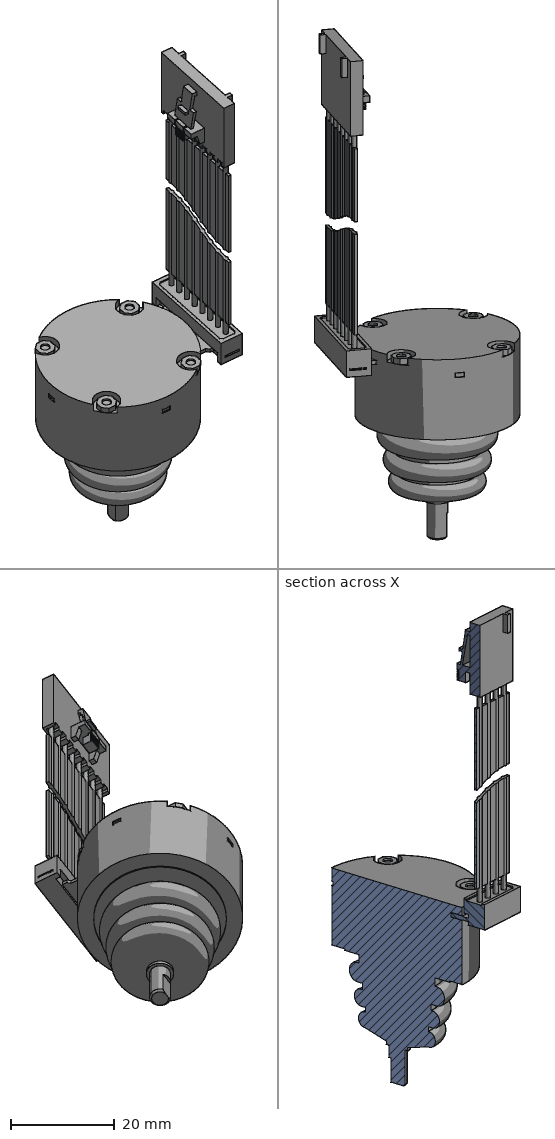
import cadquery as cq

HOUSING_RADIUS = 15.9
HOUSING_HEIGHT = 16.2
RIM_RADIUS = 12.8
RIM_HEIGHT = 0.3

SCREW_OFFSET = 10.0
SCREW_POCKET_RADIUS = 2.7
SCREW_POCKET_DEPTH = 1.5
SCREW_HEAD_SIDES = 8
SCREW_HEAD_WIDTH = 3.6
SCREW_HEAD_HEIGHT = 1.2
SCREW_SOCKET_RADIUS = 0.9
SCREW_SOCKET_DEPTH = 0.4

NOTCH_TOP_Z = 13.4
NOTCH_WIDTH = 1.8
NOTCH_HEIGHT = 0.9
NOTCH_DEPTH = 0.3
NOTCH_ANGLES = (180, 270, 360)

BELLOWS_STAGES = (
    (9.3, 1.9, 11.6, 4.2),
    (8.4, 1.2, 10.4, 3.6),
    (7.7, 0.9, 9.4, 3.3),
)
CONE_HEIGHT = 1.4

COLLAR_RADIUS = 2.6
COLLAR_HEIGHT = 0.7
SHAFT_RADIUS = 2.0
SHAFT_TIP_Z = -24.9
SHAFT_CHAMFER = 0.4
FLAT_LENGTH = 5.1
FLAT_OFFSET = 1.5

HEADER_HALF_WIDTH = 11.2
HEADER_FRONT_Y = 16.3
HEADER_BACK_Y = 21.4
HEADER_BOTTOM_Z = 12.9
HEADER_TOP_Z = 18.2
HEADER_WALL = 0.7
RECESS_HALF_WIDTH = 10.3
RECESS_DEPTH = 0.3
RECESS_CHAMFER = 0.5
OPENING_HALF_WIDTH = 10.0
OPENING_HEIGHT = 2.2
OPENING_DEPTH = 1.0
END_SLOT_Z = 14.2
END_SLOT_HEIGHT = 0.35
END_SLOT_DEPTH = 0.5
END_SLOT_SPANS = ((17.3, 17.9), (18.2, 20.7))

TONGUE_HALF_WIDTH = 7.1
TONGUE_TIP_Y = 13.2
TONGUE_BOTTOM_Z = 13.6
TONGUE_THICKNESS = 0.8
TONGUE_FLARE = 0.6

WIRE_COUNT = 8
WIRE_PITCH = 2.5
WIRE_RADIUS = 0.5
CABLE_Y = 19.1
WEB_HALF_WIDTH = 10.2
WEB_THICKNESS = 0.6
LOWER_WEB_BOTTOM_Z = 21.0
UPPER_WEB_TOP_Z = 58.7
BREAK_GAP = 2.5
BREAK_HIGH_Z = 43.9
BREAK_LOW_Z = 39.3
BREAK_FLAT_HALF_WIDTH = 8.8

PLUG_HALF_WIDTH = 10.2
PLUG_FRONT_Y = 17.7
PLUG_BACK_Y = 20.3
PLUG_BOTTOM_Z = 61.3
OVERALL_HEIGHT = 101.3
PLUG_TOP_Z = SHAFT_TIP_Z + OVERALL_HEIGHT
WIRE_NOTCH_WIDTH = 1.3
WIRE_NOTCH_HEIGHT = 0.8
RIB_OFFSET = 7.6
RIB_WIDTH = 0.8
RIB_HEIGHT = 3.8

LATCH_HALF_WIDTH = 3.8
LATCH_FRONT_Y = 14.6
LATCH_BOTTOM_Z = 63.4
LATCH_BAR_Z = 65.6
LATCH_TOP_Z = 67.0
LATCH_LEG_WIDTH = 1.1
LATCH_LEG_TOP_Y = 16.0
LATCH_LEG_BOTTOM_Y = 16.7
TOOTH_HALF_WIDTH = 1.2
TOOTH_GROOVE_COUNT = 4
TOOTH_GROOVE_DEPTH = 0.4
BAR_SLOT_WIDTH = 0.3
BAR_SLOT_DEPTH = 0.8
LEVER_ROOT_Y = 15.7
LEVER_TIP_Y = 16.9
LEVER_THICKNESS = 0.6
LEVER_TIP_Z = 74.5
LEVER_STEP_Z = 70.8
LEVER_ROOT_HALF_WIDTH = 2.6
LEVER_TIP_HALF_WIDTH = 1.4
LEVER_HOOK_HEIGHT = 0.9
BARB_Z = 69.7
BARB_HEIGHT = 0.6
BARB_FRONT_Y = 15.1
BARB_HALF_WIDTH = 1.2


def box(x_range, y_range, z_range):
    """Return a box that spans three (low, high) ranges."""
    lows, highs = zip(x_range, y_range, z_range)
    sizes = [high - low for low, high in zip(lows, highs)]
    return cq.Workplane("XY").box(*sizes, centered=False).translate(lows)


def side_profile(points, half_width):
    """Extrude a profile of (y, z) points to both sides of X = 0."""
    return cq.Workplane("YZ").polyline(points).close().extrude(half_width, both=True)



def shell():
    rim = cq.Workplane("XY").circle(RIM_RADIUS).extrude(-RIM_HEIGHT)
    return cq.Workplane("XY").circle(HOUSING_RADIUS).extrude(HOUSING_HEIGHT).union(rim)


def window_notches():
    """Shallow windows on the front and both sides of the housing."""
    notch = box(
        (HOUSING_RADIUS - NOTCH_DEPTH, HOUSING_RADIUS + NOTCH_DEPTH),
        (-NOTCH_WIDTH / 2, NOTCH_WIDTH / 2),
        (NOTCH_TOP_Z - NOTCH_HEIGHT, NOTCH_TOP_Z),
    )
    notches = cq.Workplane("XY")
    for angle in NOTCH_ANGLES:
        notches = notches.add(notch.rotate((0, 0, 0), (0, 0, 1), angle))
    return notches.combine()


def at_screws(z):
    """Return a workplane at height z with a point on each screw axis."""
    pitch = 2 * SCREW_OFFSET
    return cq.Workplane("XY").workplane(offset=z).rarray(pitch, pitch, 2, 2)


def add_screws(body):
    floor_z = HOUSING_HEIGHT - SCREW_POCKET_DEPTH
    head_top_z = floor_z + SCREW_HEAD_HEIGHT
    pockets = at_screws(floor_z).circle(SCREW_POCKET_RADIUS).extrude(SCREW_POCKET_DEPTH)
    heads = at_screws(floor_z).polygon(SCREW_HEAD_SIDES, SCREW_HEAD_WIDTH, circumscribed=True).extrude(SCREW_HEAD_HEIGHT)
    sockets = at_screws(head_top_z).circle(SCREW_SOCKET_RADIUS).extrude(-SCREW_SOCKET_DEPTH)
    return body.cut(pockets).union(heads).cut(sockets)


def bellows():
    """Revolve three necks, each with a round lobe under it, and the closing cone."""
    profile = cq.Workplane("XZ").moveTo(0, 0)
    z = 0
    for neck_radius, neck_length, lobe_radius, lobe_height in BELLOWS_STAGES:
        round_radius = lobe_height / 2
        round_start = lobe_radius - round_radius
        profile = profile.lineTo(neck_radius, z)
        z -= neck_length
        profile = profile.lineTo(neck_radius, z).lineTo(round_start, z)
        profile = profile.threePointArc((lobe_radius, z - round_radius), (round_start, z - lobe_height))
        z -= lobe_height
    cone_tip_z = z - CONE_HEIGHT
    profile = profile.lineTo(COLLAR_RADIUS, cone_tip_z).lineTo(0, cone_tip_z).close()
    return profile.revolve(360, (0, 0), (0, 1))


def shaft():
    collar_top_z = -CONE_HEIGHT - sum(stage[1] + stage[3] for stage in BELLOWS_STAGES)
    collar = cq.Workplane("XY").workplane(offset=collar_top_z).circle(COLLAR_RADIUS).extrude(-COLLAR_HEIGHT)
    rod = (
        cq.Workplane("XY").workplane(offset=SHAFT_TIP_Z)
        .circle(SHAFT_RADIUS).extrude(collar_top_z - SHAFT_TIP_Z)
        .faces("<Z").chamfer(SHAFT_CHAMFER)
    )
    flat = box(
        (-SHAFT_RADIUS, SHAFT_RADIUS),
        (-SHAFT_RADIUS, -FLAT_OFFSET),
        (SHAFT_TIP_Z, SHAFT_TIP_Z + FLAT_LENGTH),
    )
    return rod.cut(flat).union(collar)


def tongue():
    """Flat tongue that widens where it leaves the header."""
    root_y = HEADER_FRONT_Y + OPENING_DEPTH
    root_half_width = TONGUE_HALF_WIDTH + TONGUE_FLARE
    right_side = [
        (TONGUE_HALF_WIDTH, TONGUE_TIP_Y),
        (TONGUE_HALF_WIDTH, HEADER_FRONT_Y - TONGUE_FLARE),
        (root_half_width, HEADER_FRONT_Y),
        (root_half_width, root_y),
    ]
    left_side = [(-x, y) for x, y in reversed(right_side)]
    outline = cq.Workplane("XY").workplane(offset=TONGUE_BOTTOM_Z).polyline(right_side + left_side)
    return outline.close().extrude(TONGUE_THICKNESS)


def make_housing():
    body = shell().cut(window_notches())
    body = add_screws(body).union(bellows()).union(shaft())
    return body.cut(tongue())



def wire_positions():
    first_x = -WIRE_PITCH * (WIRE_COUNT - 1) / 2
    return [first_x + index * WIRE_PITCH for index in range(WIRE_COUNT)]


def cable(bottom_z, top_z, web_bottom_z, web_top_z):
    """Return round wires joined by a flat web."""
    body = box(
        (-WEB_HALF_WIDTH, WEB_HALF_WIDTH),
        (CABLE_Y - WEB_THICKNESS / 2, CABLE_Y + WEB_THICKNESS / 2),
        (web_bottom_z, web_top_z),
    )
    points = [(x, CABLE_Y) for x in wire_positions()]
    wires = (
        cq.Workplane("XY").workplane(offset=bottom_z)
        .pushPoints(points).circle(WIRE_RADIUS).extrude(top_z - bottom_z)
    )
    return body.union(wires)


def beyond_break(edge_shift, limit_z):
    """Return the space between the wavy break line and the level limit_z."""
    high_z = BREAK_HIGH_Z + edge_shift
    low_z = BREAK_LOW_Z + edge_shift
    return (
        cq.Workplane("XZ", origin=(0, HEADER_BACK_Y, 0))
        .moveTo(-HEADER_HALF_WIDTH, high_z)
        .lineTo(-BREAK_FLAT_HALF_WIDTH, high_z)
        .spline([(BREAK_FLAT_HALF_WIDTH, low_z)], tangents=[(1, 0), (1, 0)], includeCurrent=True)
        .lineTo(HEADER_HALF_WIDTH, low_z)
        .lineTo(HEADER_HALF_WIDTH, limit_z)
        .lineTo(-HEADER_HALF_WIDTH, limit_z)
        .close()
        .extrude(HEADER_BACK_Y - HEADER_FRONT_Y)
    )



def header_block():
    block = box(
        (-HEADER_HALF_WIDTH, HEADER_HALF_WIDTH),
        (HEADER_FRONT_Y, HEADER_BACK_Y),
        (HEADER_BOTTOM_Z, HEADER_TOP_Z),
    )
    recess = box(
        (-RECESS_HALF_WIDTH, RECESS_HALF_WIDTH),
        (HEADER_FRONT_Y + HEADER_WALL, HEADER_BACK_Y - HEADER_WALL),
        (HEADER_TOP_Z - RECESS_DEPTH, HEADER_TOP_Z),
    ).edges("|Z").chamfer(RECESS_CHAMFER)
    opening = box(
        (-OPENING_HALF_WIDTH, OPENING_HALF_WIDTH),
        (HEADER_FRONT_Y, HEADER_FRONT_Y + OPENING_DEPTH),
        (HEADER_BOTTOM_Z, HEADER_BOTTOM_Z + OPENING_HEIGHT),
    )
    return block.cut(recess).cut(opening)


def end_slots():
    """Narrow slots in both ends of the header."""
    slots = cq.Workplane("XY")
    inner_x = HEADER_HALF_WIDTH - END_SLOT_DEPTH
    for x_range in ((-HEADER_HALF_WIDTH, -inner_x), (inner_x, HEADER_HALF_WIDTH)):
        for y_range in END_SLOT_SPANS:
            slots = slots.add(box(x_range, y_range, (END_SLOT_Z, END_SLOT_Z + END_SLOT_HEIGHT)))
    return slots.combine()


def make_header():
    lower_cable = cable(HEADER_TOP_Z - RECESS_DEPTH, BREAK_HIGH_Z, LOWER_WEB_BOTTOM_Z, BREAK_HIGH_Z)
    lower_cable = lower_cable.cut(beyond_break(-BREAK_GAP, UPPER_WEB_TOP_Z))
    return header_block().cut(end_slots()).union(tongue()).union(lower_cable)



def plug_block():
    """Flat plug with an open notch for each wire."""
    block = box(
        (-PLUG_HALF_WIDTH, PLUG_HALF_WIDTH),
        (PLUG_FRONT_Y, PLUG_BACK_Y),
        (PLUG_BOTTOM_Z, PLUG_TOP_Z),
    )
    for x in wire_positions():
        notch = box(
            (x - WIRE_NOTCH_WIDTH / 2, x + WIRE_NOTCH_WIDTH / 2),
            (PLUG_FRONT_Y, CABLE_Y + WIRE_NOTCH_WIDTH / 2),
            (PLUG_BOTTOM_Z, PLUG_BOTTOM_Z + WIRE_NOTCH_HEIGHT),
        )
        block = block.cut(notch)
    return block


def plug_ribs():
    """Two keying ribs on the back of the plug."""
    ribs = cq.Workplane("XY")
    for x in (-RIB_OFFSET, RIB_OFFSET):
        x_range = (x - RIB_WIDTH / 2, x + RIB_WIDTH / 2)
        ribs = ribs.add(box(x_range, (PLUG_BACK_Y, HEADER_BACK_Y), (PLUG_TOP_Z - RIB_HEIGHT, PLUG_TOP_Z)))
    return ribs.combine()


def latch_base():
    """Cross bar with a sloped leg at each end."""
    frame = side_profile(
        [
            (PLUG_FRONT_Y, LATCH_TOP_Z),
            (LATCH_FRONT_Y, LATCH_TOP_Z),
            (LATCH_FRONT_Y, LATCH_BAR_Z),
            (LATCH_LEG_TOP_Y, LATCH_BAR_Z),
            (LATCH_LEG_BOTTOM_Y, LATCH_BOTTOM_Z),
            (PLUG_FRONT_Y, LATCH_BOTTOM_Z),
        ],
        LATCH_HALF_WIDTH,
    )
    inner_x = LATCH_HALF_WIDTH - LATCH_LEG_WIDTH
    base = frame.cut(box((-inner_x, inner_x), (LATCH_FRONT_Y, PLUG_FRONT_Y), (LATCH_BOTTOM_Z, LATCH_BAR_Z)))
    for slot_x in (-TOOTH_HALF_WIDTH - BAR_SLOT_WIDTH, TOOTH_HALF_WIDTH):
        slot = box(
            (slot_x, slot_x + BAR_SLOT_WIDTH),
            (LATCH_FRONT_Y, LATCH_FRONT_Y + BAR_SLOT_DEPTH),
            (LATCH_BAR_Z, LATCH_TOP_Z),
        )
        base = base.cut(slot)
    return base


def latch_tooth():
    """Tooth under the middle of the cross bar, with evenly spaced grooves across its front."""
    x_range = (-TOOTH_HALF_WIDTH, TOOTH_HALF_WIDTH)
    tooth = box(x_range, (LATCH_FRONT_Y, LATCH_LEG_BOTTOM_Y), (LATCH_BOTTOM_Z, LATCH_BAR_Z))
    groove_height = (LATCH_BAR_Z - LATCH_BOTTOM_Z) / (2 * TOOTH_GROOVE_COUNT)
    for index in range(TOOTH_GROOVE_COUNT):
        groove_z = LATCH_BOTTOM_Z + (2 * index + 1) * groove_height
        groove_y_range = (LATCH_FRONT_Y, LATCH_FRONT_Y + TOOTH_GROOVE_DEPTH)
        tooth = tooth.cut(box(x_range, groove_y_range, (groove_z, groove_z + groove_height)))
    return tooth


def latch_lever():
    """Thin lever that leans from the cross bar to the plug, narrower above its step."""
    lever = side_profile(
        [
            (LEVER_ROOT_Y - LEVER_THICKNESS / 2, LATCH_TOP_Z),
            (LEVER_TIP_Y - LEVER_THICKNESS / 2, LEVER_TIP_Z),
            (PLUG_FRONT_Y, LEVER_TIP_Z),
            (PLUG_FRONT_Y, LEVER_TIP_Z - LEVER_HOOK_HEIGHT),
            (LEVER_TIP_Y + LEVER_THICKNESS / 2, LEVER_TIP_Z - LEVER_HOOK_HEIGHT),
            (LEVER_ROOT_Y + LEVER_THICKNESS / 2, LATCH_TOP_Z),
        ],
        LEVER_ROOT_HALF_WIDTH,
    )
    for side in (-1, 1):
        x_range = sorted((side * LEVER_TIP_HALF_WIDTH, side * LEVER_ROOT_HALF_WIDTH))
        lever = lever.cut(box(x_range, (LATCH_FRONT_Y, PLUG_FRONT_Y), (LEVER_STEP_Z, LEVER_TIP_Z)))
    barb = box(
        (-BARB_HALF_WIDTH, BARB_HALF_WIDTH),
        (BARB_FRONT_Y, LEVER_TIP_Y - LEVER_THICKNESS),
        (BARB_Z, BARB_Z + BARB_HEIGHT),
    )
    return lever.union(barb)


def make_plug():
    upper_cable = cable(BREAK_LOW_Z, PLUG_BOTTOM_Z + WIRE_NOTCH_HEIGHT, BREAK_LOW_Z, UPPER_WEB_TOP_Z)
    upper_cable = upper_cable.cut(beyond_break(0, LOWER_WEB_BOTTOM_Z))
    body = plug_block().union(plug_ribs()).union(latch_base()).union(latch_tooth()).union(latch_lever())
    return body.union(upper_cable)


housing = make_housing()
header = make_header()
plug = make_plug()

result = cq.Compound.makeCompound([housing.val(), header.val(), plug.val()])